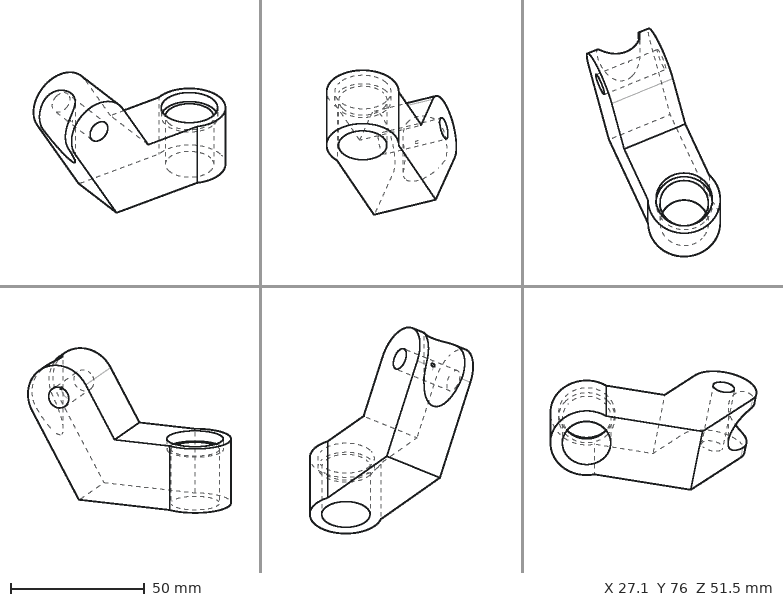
import cadquery as cq
import math

body_width = 25.0
body_height = 25.0
socket_bore_dia = 18.1
socket_seat_dia = 21.1
socket_seat_depth = 4.0
socket_wall = 3.0
pivot_hole_dia = 8.1
pivot_distance = 49.95
pivot_height = 39.0
arm_angle = 60.0
groove_dia = 17.0

socket_outer_dia = socket_seat_dia + 2 * socket_wall
arm_radius = body_height / 2
pivot_y = -pivot_distance
arm_end_y = pivot_y - arm_radius
arm_sin = math.sin(math.radians(arm_angle))
arm_cos = math.cos(math.radians(arm_angle))


def arm_side_points(side, z):
    """YZ point at the pivot end of an arm side, and its point at height z.

    side is -1 for the lower outer side and +1 for the upper inner side.
    """
    end_y = pivot_y + side * arm_radius * arm_sin
    end_z = pivot_height + side * arm_radius * arm_cos
    foot_y = end_y + (end_z - z) * arm_cos / arm_sin
    return (end_y, end_z), (foot_y, z)


def make_body():
    """Bent bar: a level leg from the socket axis and a round-ended sloping arm."""
    outer_end, outer_foot = arm_side_points(-1, 0)
    inner_end, inner_foot = arm_side_points(1, body_height)
    arm_tip = (pivot_y - arm_radius * arm_cos, pivot_height + arm_radius * arm_sin)
    return (
        cq.Workplane("YZ")
        .moveTo(0, 0)
        .lineTo(*outer_foot)
        .lineTo(*outer_end)
        .threePointArc(arm_tip, inner_end)
        .lineTo(*inner_foot)
        .lineTo(0, body_height)
        .close()
        .extrude(body_width / 2, both=True)
    )


def upright_cylinder(diameter, y, bottom, top):
    """Cylinder with a vertical axis at x = 0."""
    return cq.Workplane("XY", origin=(0, y, bottom)).circle(diameter / 2).extrude(top - bottom)


def make_pivot_hole():
    """Cross hole along X through the rounded end of the arm."""
    return (
        cq.Workplane("YZ")
        .center(pivot_y, pivot_height)
        .circle(pivot_hole_dia / 2)
        .extrude(body_width, both=True)
    )


socket = upright_cylinder(socket_outer_dia, 0, 0, body_height)
bore = upright_cylinder(socket_bore_dia, 0, 0, body_height)
seat = upright_cylinder(socket_seat_dia, 0, body_height - socket_seat_depth, body_height)
groove = upright_cylinder(groove_dia, arm_end_y, 0, pivot_height + arm_radius)

result = make_body().union(socket).cut(bore).cut(seat).cut(make_pivot_hole()).cut(groove)